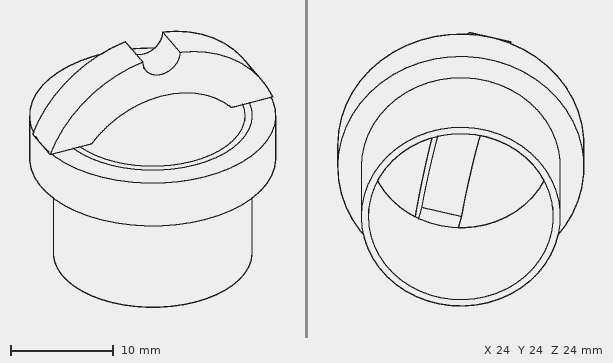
import cadquery as cq
import math

flange_diameter = 24.0
flange_height = 5.0
total_height = 24.0

sleeve_outer_diameter = 19.4
sleeve_bore_diameter = 18.0
sleeve_height = 16.0

handle_width = 4.0
handle_opening_span = 15.07
handle_opening_rise = 3.45
notch_radius = handle_width / 2

handle_half_span = flange_diameter / 2
handle_half_opening = handle_opening_span / 2
handle_height = total_height - sleeve_height

outer_center_depth = (
    handle_half_span**2 - notch_radius**2 - handle_height**2
) / (2 * handle_height)
handle_outer_radius = math.hypot(handle_half_span, outer_center_depth)


def make_sleeve():
    """Plain tube standing on the XY plane."""
    return (
        cq.Workplane("XY")
        .circle(sleeve_outer_diameter / 2)
        .circle(sleeve_bore_diameter / 2)
        .extrude(sleeve_height)
    )


def make_flange():
    """Ring around the upper end of the sleeve."""
    return (
        cq.Workplane("XY", origin=(0, 0, sleeve_height - flange_height))
        .circle(flange_diameter / 2)
        .circle(sleeve_outer_diameter / 2)
        .extrude(flange_height)
    )


def outer_arc_point(y):
    """Point of the handle's outer arc at the given Y, with its height above the foot plane."""
    return (y, math.sqrt(handle_outer_radius**2 - y**2) - outer_center_depth)


def make_handle():
    """Arch across the bore along Y, with a round notch through its crown."""
    foot_plane = cq.Workplane("YZ", origin=(-handle_width / 2, 0, sleeve_height))
    return (
        foot_plane
        .moveTo(-handle_half_span, 0)
        .threePointArc(outer_arc_point(-handle_half_span / 2), (-notch_radius, handle_height))
        .threePointArc((0, handle_height - notch_radius), (notch_radius, handle_height))
        .threePointArc(outer_arc_point(handle_half_span / 2), (handle_half_span, 0))
        .lineTo(handle_half_opening, 0)
        .threePointArc((0, handle_opening_rise), (-handle_half_opening, 0))
        .close()
        .extrude(handle_width)
    )


sleeve = make_sleeve()
flange = make_flange()
handle = make_handle()

result = cq.Compound.makeCompound([sleeve.val(), flange.val(), handle.val()])